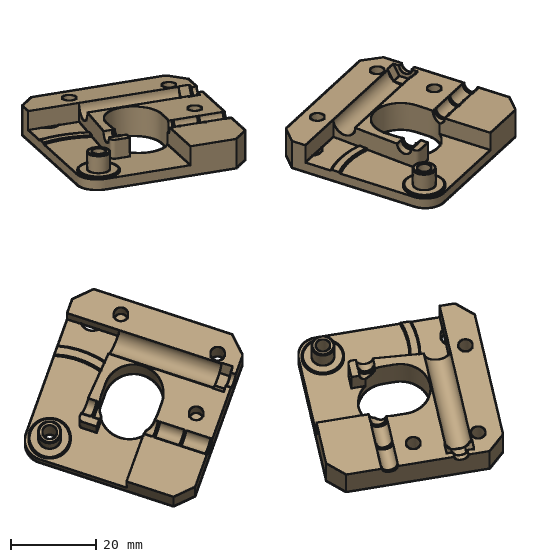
import cadquery as cq

side = 42.3
height = 7.5
half = side / 2
corner_chamfer = 4.0
corner_radius = 5.0

bolt_pitch = 31.0
bolt_offset = bolt_pitch / 2
screw_diameter = 3.4
head_pocket_diameter = 5.7
blind_depth = 5.0
side_hole = (-17.3, -9.1)

floor_z = 2.7
pad_height = 0.3
block_right = 10.65
recess_half_gap = 5.5
slope_left_y = -8.2
slope_right_y = -10.15
nose_radius = 1.0

window_diameter = 14.0
window_travel = 3.0

spring_x = -10.4
spring_radius = 3.1
nut_corner_diameter = 6.6
nut_back_y = 19.85
nut_front_y = 17.15
wall_x = spring_x - spring_radius

tube_x = 6.7
tube_radius = 2.0
upper_rib_radius = 1.85
lower_rib_radius = 1.7
rib_width = 0.5
rib_pitch = 6.5
upper_rib_count = 3
lower_rib_y = -7.55

pivot = (bolt_offset, -bolt_offset)
pivot_radius = 2.7
pivot_chamfer = 0.2
pad_radius = 5.0
strip_outer_radius = 22.9
strip_inner_radius = 20.3


def cylinder_y(x, radius, y_start, y_end):
    """Cylinder along Y whose axis lies in the top face."""
    start = cq.Vector(x, y_start, height)
    return cq.Workplane("XY").add(cq.Solid.makeCylinder(radius, y_end - y_start, start, cq.Vector(0, 1, 0)))


def disc(center, radius, z_start, z_end):
    """Upright cylinder between two heights."""
    return cq.Workplane("XY", origin=(*center, z_start)).circle(radius).extrude(z_end - z_start)


def cone(center, base_radius, top_radius):
    """Shallow cone standing on the recessed floor, one pad height tall."""
    return cq.Workplane("XY").add(
        cq.Solid.makeCone(base_radius, top_radius, pad_height, cq.Vector(*center, floor_z))
    )


def make_plate():
    plate = cq.Workplane("XY").rect(side, side).extrude(height)
    plate = plate.edges("|Z and (<X or >Y)").chamfer(corner_chamfer)
    round_corner = cq.selectors.NearestToPointSelector((half, -half, height / 2))
    return plate.edges("|Z").edges(round_corner).fillet(corner_radius)


def make_recess():
    """Volume above the floor: around the sloped block and out to the -Y and +X sides."""
    outline = [
        (wall_x, -half),
        (wall_x, slope_left_y),
        (block_right, slope_right_y),
        (block_right, -recess_half_gap),
        (window_travel, -recess_half_gap),
        (window_travel, recess_half_gap),
        (half, recess_half_gap),
        (half, -half),
    ]
    recess = cq.Workplane("XY", origin=(0, 0, floor_z)).polyline(outline).close().extrude(height - floor_z)
    nose = cq.selectors.NearestToPointSelector((block_right, slope_right_y, (floor_z + height) / 2))
    return recess.edges("|Z").edges(nose).fillet(nose_radius)


def make_window():
    return (
        cq.Workplane("XY")
        .center(window_travel / 2, 0)
        .slot2D(window_diameter + window_travel, window_diameter)
        .extrude(height)
    )


def make_spring_channel():
    """Round channel, hexagonal nut pocket and screw groove out to the +Y side."""
    channel = cylinder_y(spring_x, spring_radius, -half, nut_front_y)
    nut = (
        cq.Workplane("XZ", origin=(spring_x, nut_back_y, height))
        .polygon(6, nut_corner_diameter)
        .extrude(nut_back_y - nut_front_y)
    )
    screw = cylinder_y(spring_x, screw_diameter / 2, nut_front_y, half)
    return channel.union(nut).union(screw)


def make_tube_channel():
    """Round channel across the plate, narrowed at each rib."""
    channel = cylinder_y(tube_x, tube_radius, -half, half)
    ribs = [(half - rib_width - i * rib_pitch, upper_rib_radius) for i in range(upper_rib_count)]
    ribs.append((lower_rib_y, lower_rib_radius))
    for rib_start, bore_radius in ribs:
        rib_end = rib_start + rib_width
        ring = cylinder_y(tube_x, tube_radius, rib_start, rib_end)
        ring = ring.cut(cylinder_y(tube_x, bore_radius, rib_start, rib_end))
        channel = channel.cut(ring)
    return channel


def make_pivot():
    pad = cone(pivot, pad_radius, pad_radius - pad_height)
    boss = disc(pivot, pivot_radius, floor_z, height).faces(">Z").edges().chamfer(pivot_chamfer)
    return pad.union(boss)


def make_strip(recess):
    """Low arc-shaped strip with bevelled edges, kept to the floor between wall, block and edge."""
    outer = cone(pivot, strip_outer_radius, strip_outer_radius - pad_height)
    inner = cone(pivot, strip_inner_radius, strip_inner_radius + pad_height)
    left_part = cq.Workplane("XY").box(half, side, height).translate((-half / 2, 0, height / 2))
    return outer.cut(inner).intersect(recess).intersect(left_part)


def make_holes():
    screw_radius = screw_diameter / 2
    holes = disc((-bolt_offset, bolt_offset), screw_radius, 0, height)
    holes = holes.union(disc(pivot, screw_radius, 0, height))
    for center in [(0, bolt_offset), side_hole]:
        holes = holes.union(disc(center, screw_radius, height - blind_depth, height))
    return holes.union(disc((-bolt_offset, -bolt_offset), head_pocket_diameter / 2, 0, floor_z))


recess_volume = make_recess()
result = (
    make_plate()
    .cut(recess_volume)
    .cut(make_spring_channel())
    .cut(make_tube_channel())
    .union(make_strip(recess_volume))
    .union(make_pivot())
    .cut(make_window())
    .cut(make_holes())
)